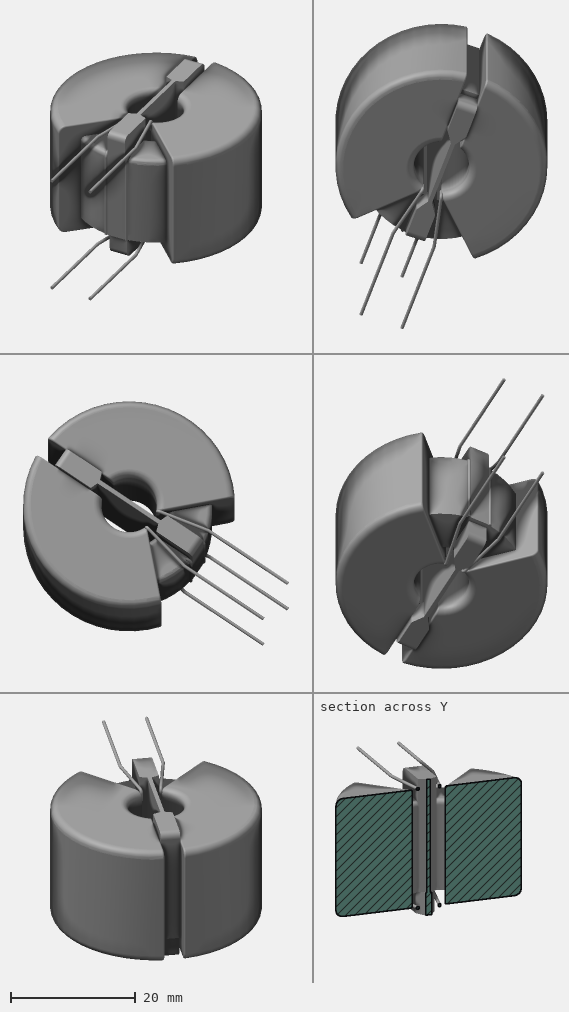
import cadquery as cq
import math

winding_radius = 17.0
winding_bore_radius = 4.45
winding_height = 20.05
winding_round = 1.22
winding_end_round = 0.25
winding_gap = 3.15
lead_gap_offset = 2.95

core_radius = 13.32
core_bore_radius = 6.53
core_height = 15.27
core_round = 0.8

plate_height = 23.0
plate_thickness = 3.15
plate_corner_round = 1.1
web_thickness = 0.7
foot_half_length = 12.55
upper_taper_end = 5.9
upper_taper_start = 6.35
foot_taper_end = 5.45
foot_taper_start = 7.35

bead_radius = 0.25

lead_radius = 0.25
lead_level = 10.05
lead_root = (1.6, -4.45)
lead_bend = (3.5, -13.1)
lead_tip_y = -28.4
lead_drop = 1.8
lead_turn_radius = 0.55


def ring(outer_radius, inner_radius, height):
    return cq.Workplane("XY").circle(outer_radius).circle(inner_radius).extrude(height / 2, both=True)


def make_core():
    return ring(core_radius, core_bore_radius, core_height).faces(">Z").edges().fillet(core_round)


def make_winding():
    """Winding on the +X side: a rounded ring trimmed to the sector between slot and V opening."""
    reach = 2 * winding_radius
    slot_x = winding_gap / 2
    sector = (
        cq.Workplane("XY")
        .polyline([
            (slot_x, reach),
            (slot_x, 0),
            (0, -lead_gap_offset),
            (reach, -reach - lead_gap_offset),
            (reach, reach),
        ])
        .close()
        .extrude(winding_height, both=True)
    )
    body = ring(winding_radius, winding_bore_radius, winding_height)
    body = body.faces("<Z or >Z").edges().fillet(winding_round)
    body = body.intersect(sector)
    end_faces = body.faces("%PLANE and (not |Z)")
    return end_faces.edges().fillet(winding_end_round)


def plate_tier(half_length, taper_start, taper_end, bottom, top):
    """Horizontal slice of the plate: two thick blocks that taper to a thin web."""
    half = plate_thickness / 2
    web = web_thickness / 2
    quarter = [(half, half_length), (half, taper_start), (web, taper_end)]
    right_side = quarter + [(x, -y) for x, y in reversed(quarter)]
    left_side = [(-x, -y) for x, y in right_side]
    return (
        cq.Workplane("XY")
        .workplane(offset=bottom)
        .polyline(right_side + left_side)
        .close()
        .extrude(top - bottom)
    )


def make_plate():
    core_bottom = -core_height / 2
    plate_top = plate_height / 2
    upper = plate_tier(core_radius, upper_taper_start, upper_taper_end, core_bottom, plate_top)
    foot = plate_tier(foot_half_length, foot_taper_start, foot_taper_end, -plate_top, core_bottom)
    upper = upper.faces(">Z").edges("<Y or >Y").fillet(plate_corner_round)
    foot = foot.faces("<Z").edges("<Y or >Y").fillet(plate_corner_round)
    return upper.union(foot)


def make_bead(side):
    bead_x = side * (plate_thickness / 2 + bead_radius)
    bead_y = -math.sqrt(core_radius**2 - bead_x**2)
    half_height = core_height / 2
    arc_inset = core_round * (1 - math.sqrt(0.5))
    foot = cq.Vector(bead_x, bead_y, -half_height)
    arc_start = cq.Vector(bead_x, bead_y, half_height - core_round)
    arc_middle = cq.Vector(bead_x, bead_y + arc_inset, half_height - arc_inset)
    arc_end = cq.Vector(bead_x, bead_y + core_round, half_height)
    spine = cq.Wire.assembleEdges([
        cq.Edge.makeLine(foot, arc_start),
        cq.Edge.makeThreePointArc(arc_start, arc_middle, arc_end),
    ])
    section = cq.Workplane("XY", origin=foot.toTuple()).circle(bead_radius)
    return section.sweep(cq.Workplane(spine))


def make_lead(side, level):
    """Lead that turns up out of the bore, crosses the core and runs straight forward."""
    vertical = math.copysign(1, level)
    root = cq.Vector(side * lead_root[0], lead_root[1], level)
    bend = cq.Vector(side * lead_bend[0], lead_bend[1], level)
    tip = cq.Vector(bend.x, lead_tip_y, level)
    forward = (bend - root).normalized()
    down = cq.Vector(0, 0, -vertical)
    arc_inset = lead_turn_radius * (1 - math.sqrt(0.5))
    start = root + down * lead_drop
    turn_start = root + down * lead_turn_radius
    turn_middle = root + (down + forward) * arc_inset
    turn_end = root + forward * lead_turn_radius
    spine = cq.Wire.assembleEdges([
        cq.Edge.makeLine(start, turn_start),
        cq.Edge.makeThreePointArc(turn_start, turn_middle, turn_end),
        cq.Edge.makeLine(turn_end, bend),
        cq.Edge.makeLine(bend, tip),
    ])
    section = cq.Workplane("XY", origin=start.toTuple()).circle(lead_radius)
    return section.sweep(cq.Workplane(spine), transition="round")


right_winding = make_winding()
result = make_core().union(right_winding).union(right_winding.mirror("YZ"))
result = result.union(make_plate())
for side in (-1, 1):
    result = result.union(make_bead(side))
    for level in (-lead_level, lead_level):
        result = result.union(make_lead(side, level))